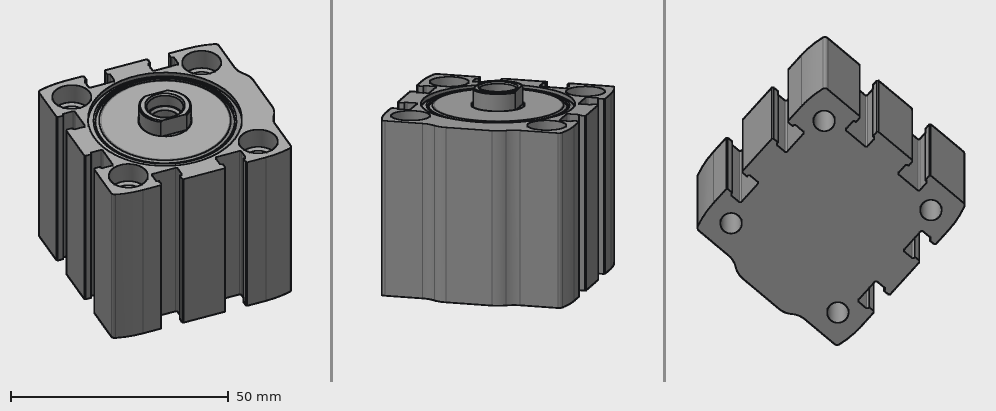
import cadquery as cq
import math

width = 45.0
total_depth = 47.0
body_height = 41.5
rod_projection = 4.0
half_width = width / 2

side_arc_radius = 22.55
side_arc_height = 7.1
corner_radius = 0.95
pad_height = total_depth - width
pad_half_top = 5.5
pad_half_base = 11.65

slot_offset = 8.0
slot_mouth = 5.15
slot_inner = 6.45
slot_lip = 1.65
slot_depth = 4.65
slot_mouth_chamfer = 0.3
slot_inner_round = 0.38

mount_offset = 16.25
mount_bore_diameter = 9.0
mount_bore_depth = 5.0
mount_hole_diameter = 4.95
mount_chamfer_diameter = 6.05
mount_chamfer = (mount_chamfer_diameter - mount_hole_diameter) / 2

recess_radius = 35.4 / 2
recess_depth = 1.1
ring_peak_radius = 16.45
ring_peak_depth = 0.38
ring_inner_radius = 32.0 / 2
ring_inner_depth = 0.45
groove_depth = 1.05
cover_shoulder_radius = 15.15
cover_shoulder_depth = 0.35
cover_radius = 14.8
cover_depth = 0.25

rod_diameter = 12.0
rod_length = 28.2
rod_top_chamfer = 0.3
rod_mouth_chamfer = 0.2
flat_width = 10.0
flat_end_depth = 0.55
flat_runout_angle = math.radians(30)
socket_diameter = 8.4
socket_chamfer = 0.38
socket_depth = 3.3
tap_chamfer_diameter = 7.9
tap_diameter = 6.65
tap_depth = 12.0
drill_point_angle = math.radians(120)

body_top = body_height
rod_top = body_top + rod_projection
rod_bottom = rod_top - rod_length


def housing_block():
    """Extruded profile of the housing, before slots, holes and recesses."""
    arc_start_y = half_width - side_arc_height
    corner_inset = side_arc_radius - math.sqrt(side_arc_radius**2 - side_arc_height**2)
    mid_height = side_arc_height / 2
    mid_inset = side_arc_radius - math.sqrt(side_arc_radius**2 - mid_height**2)
    corner_x = half_width - corner_inset
    arc_mid = (half_width - mid_inset, arc_start_y + mid_height)
    pad_y = half_width + pad_height
    pad_middle = ((pad_half_top + pad_half_base) / 2, half_width + pad_height / 2)

    right_half = (
        cq.Workplane("XY")
        .moveTo(0, -half_width)
        .lineTo(corner_x, -half_width)
        .threePointArc((arc_mid[0], -arc_mid[1]), (half_width, -arc_start_y))
        .lineTo(half_width, arc_start_y)
        .threePointArc(arc_mid, (corner_x, half_width))
        .lineTo(pad_half_base, half_width)
        .tangentArcPoint(pad_middle, relative=False)
        .tangentArcPoint((pad_half_top, pad_y), relative=False)
        .lineTo(0, pad_y)
        .close()
        .extrude(body_height)
    )
    pick_margin = 0.45
    for side in (-1, 1):
        edge_zone = cq.selectors.BoxSelector(
            (corner_x - pick_margin, side * half_width - pick_margin, -pick_margin),
            (corner_x + pick_margin, side * half_width + pick_margin, body_height + pick_margin),
        )
        right_half = right_half.edges("|Z").edges(edge_zone).fillet(corner_radius)
    return right_half.union(right_half.mirror("YZ"))


def slot_cutter(angle, offset):
    """T-slot through the full height, entering the side that faces `angle` degrees from +X."""
    half_mouth = slot_mouth / 2
    mouth = (
        cq.Workplane("XY")
        .polyline(
            [
                (half_width, -half_mouth - slot_mouth_chamfer),
                (half_width - slot_mouth_chamfer, -half_mouth),
                (half_width - slot_lip, -half_mouth),
                (half_width - slot_lip, half_mouth),
                (half_width - slot_mouth_chamfer, half_mouth),
                (half_width, half_mouth + slot_mouth_chamfer),
            ]
        )
        .close()
        .extrude(body_height)
    )
    inner_length = slot_depth - slot_lip
    inner = (
        cq.Workplane("XY")
        .center(half_width - slot_lip - inner_length / 2, 0)
        .rect(inner_length, slot_inner)
        .extrude(body_height)
        .edges("|Z")
        .fillet(slot_inner_round)
    )
    slot = mouth.union(inner).translate((0, offset, 0))
    return slot.rotate((0, 0, 0), (0, 0, 1), angle)


def revolved(profile):
    """Solid of revolution about Z from (radius, height) points."""
    return cq.Workplane("XZ").polyline(profile).close().revolve(360, (0, 0, 0), (0, 1, 0))


def mounting_hole_cutter():
    """Counterbored through hole with a chamfer where the bore meets the hole."""
    bore_floor = body_top - mount_bore_depth
    return revolved(
        [
            (0, 0),
            (mount_hole_diameter / 2, 0),
            (mount_hole_diameter / 2, bore_floor - mount_chamfer),
            (mount_chamfer_diameter / 2, bore_floor),
            (mount_bore_diameter / 2, bore_floor),
            (mount_bore_diameter / 2, body_top),
            (0, body_top),
        ]
    )


def top_recess_cutter():
    """Shallow stepped recess in the top face, with the rod bore in its centre."""
    bore_radius = rod_diameter / 2
    return revolved(
        [
            (0, rod_bottom),
            (bore_radius, rod_bottom),
            (bore_radius, body_top - cover_depth - rod_mouth_chamfer),
            (bore_radius + rod_mouth_chamfer, body_top - cover_depth),
            (cover_radius, body_top - cover_depth),
            (cover_shoulder_radius, body_top - cover_shoulder_depth),
            (ring_inner_radius, body_top - groove_depth),
            (ring_inner_radius, body_top - ring_inner_depth),
            (ring_peak_radius, body_top - ring_peak_depth),
            (recess_radius, body_top - recess_depth),
            (recess_radius, body_top),
            (0, body_top),
        ]
    )


def build_housing():
    housing = housing_block()
    for angle in (0, 180, 270):
        for offset in (-slot_offset, slot_offset):
            housing = housing.cut(slot_cutter(angle, offset))
    hole = mounting_hole_cutter()
    for x in (-mount_offset, mount_offset):
        for y in (-mount_offset, mount_offset):
            housing = housing.cut(hole.translate((x, y, 0)))
    return housing.cut(top_recess_cutter())


def flat_cutter():
    """Wrench flat on the +X side of the rod, with a sloping run-out at its lower end."""
    outer = rod_diameter
    flat_x = flat_width / 2
    flat_end = body_top - flat_end_depth
    runout_drop = (outer - flat_x) * math.tan(flat_runout_angle)
    return (
        cq.Workplane("XZ")
        .polyline(
            [
                (flat_x, rod_top),
                (flat_x, flat_end),
                (outer, flat_end - runout_drop),
                (outer, rod_top),
            ]
        )
        .close()
        .extrude(outer, both=True)
    )


def socket_cutter():
    """Chamfered socket, tapping hole and drill point in the end of the rod."""
    socket_radius = socket_diameter / 2
    tap_radius = tap_diameter / 2
    tap_chamfer_radius = tap_chamfer_diameter / 2
    socket_floor = rod_top - socket_depth
    tap_end = rod_top - tap_depth
    drill_point_height = tap_radius / math.tan(drill_point_angle / 2)
    return revolved(
        [
            (0, rod_top),
            (socket_radius + socket_chamfer, rod_top),
            (socket_radius, rod_top - socket_chamfer),
            (socket_radius, socket_floor),
            (tap_chamfer_radius, socket_floor),
            (tap_radius, socket_floor - (tap_chamfer_radius - tap_radius)),
            (tap_radius, tap_end),
            (0, tap_end - drill_point_height),
        ]
    )


def build_rod():
    rod = cq.Workplane("XY").workplane(offset=rod_bottom).circle(rod_diameter / 2).extrude(rod_length)
    rod = rod.faces(">Z").edges().chamfer(rod_top_chamfer)
    flat = flat_cutter()
    rod = rod.cut(flat).cut(flat.mirror("YZ"))
    return rod.cut(socket_cutter())


housing = build_housing()
rod = build_rod()
result = cq.Compound.makeCompound([housing.val(), rod.val()])